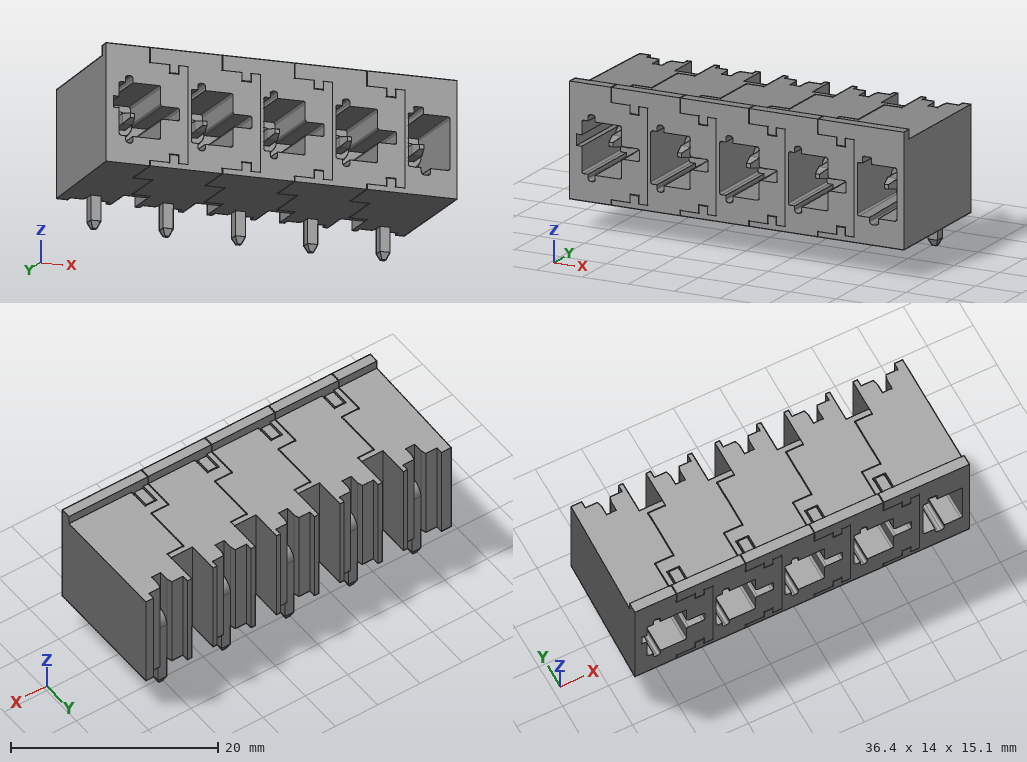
import cadquery as cq
import math


MODULES = 5
PITCH = 7.5
ROW_LENGTH = 36.4
FIRST_PIN_X = 3.5
LAST_PIN_TO_END = ROW_LENGTH - FIRST_PIN_X - (MODULES - 1) * PITCH

DEPTH = 14.0
BODY_TOP = 10.92
LIP_TOP = 11.9
LIP_DEPTH = 1.13
END_DRAFT = 0.33
WALL_RIGHT = 5.0
WALL_LEFT = WALL_RIGHT - PITCH

EAR_THICK = 0.55
EAR_FRONT_X = 1.02
EAR_BACK_X = 3.05
EAR_STEP_Y = 4.6
EAR_END_Y = 9.97
EAR_GAP = 0.07

KEY_X = 3.55
KEY_WIDTH = 0.9
KEY_HEIGHT = 0.8
KEY_SIDE_GAP = 0.05
KEY_END_GAP = 0.07

LATCH_X = 2.33
WINDOW_WIDTH = 1.4
WINDOW_END_Y = 3.2
LAST_WINDOW_END_Y = 3.42
NUB_WIDTH = 1.02
NUB_START_Y = 1.3
NUB_END_GAP = 0.1

POST_RIGHT = 2.48
LEDGE_Y = 10.55
RECESS_HALF = 2.0
RECESS_Y = DEPTH - 0.75
SLOT_MOUTH_HALF = 0.7

PIN_SIZE = 1.05
PIN_HALF = PIN_SIZE / 2
PIN_Z = 5.45
PIN_BACK_Y = 12.65
PIN_LEG_Y = PIN_BACK_Y - PIN_HALF
PIN_FRONT_Y = 1.93
PIN_BOTTOM = -3.2
FRONT_TIP_LENGTH = 1.3
BOTTOM_TIP_LENGTH = 0.7
TIP_SIZE = 0.45
BEND_RADIUS = 0.85

SOCKET_WIDTH = 4.3
SOCKET_HEIGHT = 5.4
SOCKET_DEPTH = 8.0
SOCKET_RADIUS = 0.22
LAST_SOCKET_DRAFT = 0.09
SLIT_END_X = 4.1
SLIT_HEIGHT = 1.27
SIDE_NOTCH_X = -2.73
SIDE_NOTCH_BOTTOM = 5.5
SIDE_NOTCH_TOP = 6.65
KEYWAY_X = -1.1
KEYWAY_WIDTH = 0.75
KEYWAY_REACH = 3.4
LAST_KEYWAY_WIDTH = 1.0
LAST_LOWER_KEYWAY_X = -0.33
KEYWAY_RADIUS = 0.33
LAST_UPPER_KEYWAY_RADIUS = 0.2

COLLAR_BASE_RADIUS = 1.5
COLLAR_TIP_RADIUS = 1.27
COLLAR_LENGTH = 2.62


def box(x0, x1, y0, y1, z0, z1):
    return cq.Workplane("XY").box(x1 - x0, y1 - y0, z1 - z0, centered=False).translate((x0, y0, z0))


def pin():
    """Square pin with a rounded right-angle bend and a pyramid point at each end."""
    bend_start_y = PIN_LEG_Y - BEND_RADIUS
    bend_end_z = PIN_Z - BEND_RADIUS
    diagonal = BEND_RADIUS * math.sqrt(0.5)
    path = (
        cq.Workplane("YZ")
        .moveTo(PIN_FRONT_Y + FRONT_TIP_LENGTH, PIN_Z)
        .lineTo(bend_start_y, PIN_Z)
        .threePointArc((bend_start_y + diagonal, bend_end_z + diagonal), (PIN_LEG_Y, bend_end_z))
        .lineTo(PIN_LEG_Y, PIN_BOTTOM + BOTTOM_TIP_LENGTH)
    )
    shank = (
        cq.Workplane("XZ", origin=(0, PIN_FRONT_Y + FRONT_TIP_LENGTH, PIN_Z))
        .rect(PIN_SIZE, PIN_SIZE)
        .sweep(path)
    )
    front_tip = (
        cq.Workplane("XZ", origin=(0, PIN_FRONT_Y + FRONT_TIP_LENGTH, PIN_Z))
        .rect(PIN_SIZE, PIN_SIZE)
        .workplane(offset=FRONT_TIP_LENGTH)
        .rect(TIP_SIZE, TIP_SIZE)
        .loft()
    )
    bottom_tip = (
        cq.Workplane("XY", origin=(0, PIN_LEG_Y, PIN_BOTTOM))
        .rect(TIP_SIZE, TIP_SIZE)
        .workplane(offset=BOTTOM_TIP_LENGTH)
        .rect(PIN_SIZE, PIN_SIZE)
        .loft()
    )
    return shank.union(front_tip).union(bottom_tip)


def outline(left_edge, right_edge):
    """Closed XY outline: left edge front to back, the back profile, right edge back to front."""
    half_slot = [
        (RECESS_HALF, DEPTH),
        (RECESS_HALF, RECESS_Y),
        (SLOT_MOUTH_HALF, RECESS_Y),
        (PIN_HALF, PIN_BACK_Y),
        (PIN_HALF, PIN_BACK_Y - PIN_SIZE),
    ]
    mirrored = [(-x, y) for x, y in half_slot]
    points = left_edge + mirrored + half_slot[::-1] + right_edge
    return cq.Workplane("XY").polyline(points).close()


def body(first, last):
    """Core between the flat walls, with the stepped plates above and below it and the front lip."""
    ear_left_x = EAR_FRONT_X - PITCH + EAR_GAP
    if first:
        ear_left_x = -FIRST_PIN_X
        core_left = [(-FIRST_PIN_X, 0), (-FIRST_PIN_X + END_DRAFT, DEPTH)]
        plate_left = core_left
    else:
        core_left = [(WALL_LEFT, 0), (WALL_LEFT, DEPTH)]
        plate_left = [
            (ear_left_x, 0),
            (ear_left_x, EAR_STEP_Y - EAR_GAP),
            (EAR_BACK_X - PITCH + EAR_GAP, EAR_STEP_Y - EAR_GAP),
            (EAR_BACK_X - PITCH + EAR_GAP, EAR_END_Y - EAR_GAP),
            (WALL_LEFT, EAR_END_Y - EAR_GAP),
            (WALL_LEFT, DEPTH),
        ]
    if last:
        core_right = [(LAST_PIN_TO_END, DEPTH), (LAST_PIN_TO_END, 0)]
        plate_right = core_right
    else:
        ledge = [(POST_RIGHT, DEPTH), (POST_RIGHT, LEDGE_Y), (WALL_RIGHT, LEDGE_Y)]
        core_right = ledge + [(WALL_RIGHT, 0)]
        plate_right = ledge + [
            (WALL_RIGHT, EAR_END_Y),
            (EAR_BACK_X, EAR_END_Y),
            (EAR_BACK_X, EAR_STEP_Y),
            (EAR_FRONT_X, EAR_STEP_Y),
            (EAR_FRONT_X, 0),
        ]
    plate = outline(plate_left, plate_right).extrude(EAR_THICK)
    core = outline(core_left, core_right).extrude(BODY_TOP - 2 * EAR_THICK)
    upper_plate = outline(plate_left, plate_right).extrude(LIP_TOP - BODY_TOP + EAR_THICK)
    behind_lip = box(ear_left_x, WALL_RIGHT, LIP_DEPTH, DEPTH, BODY_TOP, LIP_TOP)
    return (
        core.translate((0, 0, EAR_THICK))
        .union(plate)
        .union(upper_plate.translate((0, 0, BODY_TOP - EAR_THICK)))
        .cut(behind_lip)
    )


def ear_keys(x, side_gap=0, end_gap=0):
    """The upper and lower key behind the mating face, or their grooves when gaps are given."""
    half = KEY_WIDTH / 2 + side_gap
    reach = EAR_THICK + KEY_HEIGHT + end_gap
    lower = box(x - half, x + half, 0, LIP_DEPTH, EAR_THICK, reach)
    upper = box(x - half, x + half, 0, LIP_DEPTH, BODY_TOP - reach, BODY_TOP - EAR_THICK)
    return lower.union(upper)


def window(end_y):
    """Opening through the upper ear behind the lip."""
    x = LATCH_X - PITCH
    half = WINDOW_WIDTH / 2
    return box(x - half, x + half, LIP_DEPTH, end_y, BODY_TOP - EAR_THICK, BODY_TOP)


def latch_nub(window_end_y):
    """Block that stands in the next module's window, flush with the housing top."""
    half = NUB_WIDTH / 2
    end_y = window_end_y - NUB_END_GAP
    return box(LATCH_X - half, LATCH_X + half, NUB_START_Y, end_y, BODY_TOP - EAR_THICK, BODY_TOP)


def pocket(x0, x1, z0, z1, radius, taper=0):
    """Pocket from the mating face to the socket floor with rounded corners."""
    sketch = cq.Sketch().rect(x1 - x0, z1 - z0).vertices().fillet(radius)
    center = ((x0 + x1) / 2, 0, (z0 + z1) / 2)
    return cq.Workplane("XZ", origin=center).placeSketch(sketch).extrude(-SOCKET_DEPTH, taper=taper)


def socket(first, last):
    """Socket with its keyways, less the tapered collar that stands on its floor."""
    half = SOCKET_WIDTH / 2
    bottom = PIN_Z - SOCKET_HEIGHT / 2
    top = PIN_Z + SOCKET_HEIGHT / 2
    taper = math.degrees(math.atan(LAST_SOCKET_DRAFT / SOCKET_DEPTH)) if last else 0
    cavity = pocket(-half, half, bottom, top, SOCKET_RADIUS, taper)

    key_half = (LAST_KEYWAY_WIDTH if last else KEYWAY_WIDTH) / 2
    lower_x = LAST_LOWER_KEYWAY_X if last else KEYWAY_X
    upper_radius = LAST_UPPER_KEYWAY_RADIUS if last else KEYWAY_RADIUS
    upper_left = KEYWAY_X - key_half
    upper_right = KEYWAY_X + key_half
    upper_keyway = pocket(upper_left, upper_right, PIN_Z, PIN_Z + KEYWAY_REACH, upper_radius)
    lower_left = lower_x - key_half
    lower_right = lower_x + key_half
    lower_keyway = pocket(lower_left, lower_right, PIN_Z - KEYWAY_REACH, PIN_Z, KEYWAY_RADIUS)
    cavity = cavity.union(upper_keyway).union(lower_keyway)
    if not last:
        slit_half = SLIT_HEIGHT / 2
        slit = pocket(0, SLIT_END_X, PIN_Z - slit_half, PIN_Z + slit_half, SOCKET_RADIUS)
        slit_corners = cq.selectors.BoxSelector(
            (half - SOCKET_RADIUS, 0, PIN_Z - slit_half - SOCKET_RADIUS),
            (half + SOCKET_RADIUS, SOCKET_DEPTH, PIN_Z + slit_half + SOCKET_RADIUS),
        )
        cavity = cavity.union(slit).edges("|Y").edges(slit_corners).fillet(SOCKET_RADIUS)
    if first:
        side_notch = box(SIDE_NOTCH_X, 0, 0, SOCKET_DEPTH, SIDE_NOTCH_BOTTOM, SIDE_NOTCH_TOP)
        cavity = cavity.union(side_notch)

    collar = (
        cq.Workplane("XZ", origin=(0, SOCKET_DEPTH, PIN_Z))
        .circle(COLLAR_BASE_RADIUS)
        .workplane(offset=COLLAR_LENGTH)
        .circle(COLLAR_TIP_RADIUS)
        .loft()
    )
    return cavity.cut(collar)


def window_end(number):
    return LAST_WINDOW_END_Y if number == MODULES - 1 else WINDOW_END_Y


def housing(number):
    """One housing module; the pin bores its own matching hole through it."""
    first = number == 0
    last = number == MODULES - 1
    solid = body(first, last)
    if not first:
        solid = solid.cut(window(window_end(number))).union(ear_keys(KEY_X - PITCH))
    if not last:
        solid = solid.cut(ear_keys(KEY_X, KEY_SIDE_GAP, KEY_END_GAP))
        solid = solid.union(latch_nub(window_end(number + 1)))
    return solid.cut(socket(first, last)).cut(pin())


housings = []
pins = []
for number in range(MODULES):
    place = (FIRST_PIN_X + number * PITCH, 0, 0)
    housings.append(housing(number).translate(place))
    pins.append(pin().translate(place))

result = cq.Compound.makeCompound([part.solids().val() for part in housings + pins])